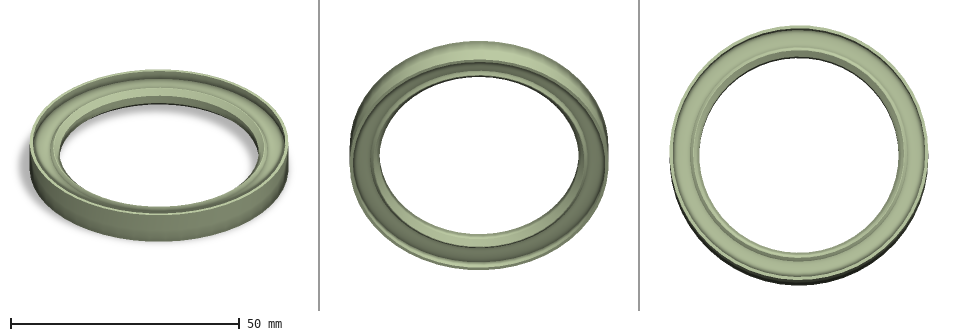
import cadquery as cq

outer_radius = 28.25
height = 7.0
rim_wall = 0.7
recess_depth = 2.05
bore_radius = 21.75
lip_height = 0.7
lip_crest_width = 0.15
bevel = 1.2

rim_inner_radius = outer_radius - rim_wall
crest_inner_radius = bore_radius + bevel
crest_outer_radius = crest_inner_radius + lip_crest_width
lip_base_radius = crest_outer_radius + lip_height
rim_z = height / 2
floor_z = rim_z - recess_depth
crest_z = floor_z + lip_height
bore_edge_z = crest_z - bevel

upper_half = [
    (bore_radius, bore_edge_z),
    (crest_inner_radius, crest_z),
    (crest_outer_radius, crest_z),
    (lip_base_radius, floor_z),
    (rim_inner_radius, floor_z),
    (rim_inner_radius, rim_z),
    (outer_radius, rim_z),
]

lower_half = [(radius, -z) for radius, z in reversed(upper_half)]

result = (
    cq.Workplane("XZ")
    .polyline(upper_half + lower_half)
    .close()
    .revolve(360, (0, 0, 0), (0, 1, 0))
)